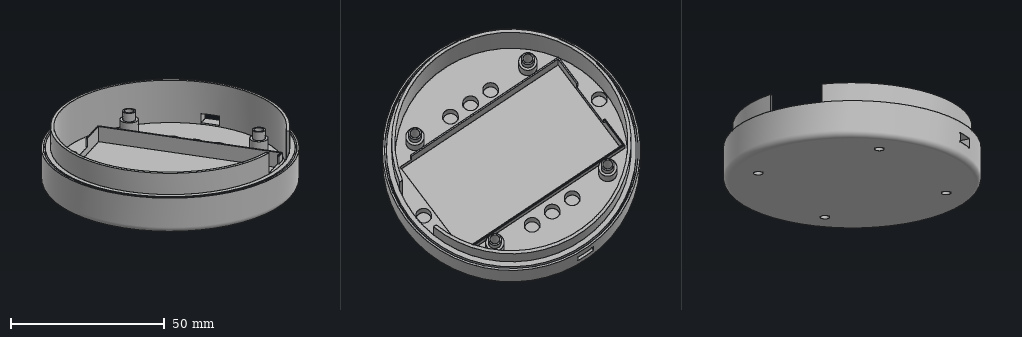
import cadquery as cq

outer_diameter = 84.0
cup_height = 12.5
total_height = 20.0
base_fillet = 2.0
floor_height = 5.0

collar_outer_diameter = 78.0
collar_thickness = 1.1
collar_gap_width = 19.0

groove_outer_diameter = 82.6
groove_inner_diameter = 81.4
groove_depth = 2.0

pocket_length = 63.0
pocket_width = 36.4
pocket_floor = 2.5
rib_thickness = 0.5
rib_top = 8.0
left_rib_rear_length = 11.2
left_rib_front_length = 11.0
right_rib_length = 3.15
rib_step_width = 0.25
rib_step_drop = 0.25
front_rib_length = 59.0

post_offset = 22.5
post_diameter = 6.0
post_shoulder = 10.0
pin_diameter = 4.2
pin_top = 13.0
screw_hole_diameter = 3.1

magnet_diameter = 5.1
magnet_depth = 4.0
magnet_row_pitch = 8.0
magnet_row_offset = 23.0
magnet_side_offset = 35.0

window_width = 6.3
window_bottom = 5.5
window_height = 3.2


def cylinder(diameter, bottom, top, x=0.0, y=0.0):
    """Upright cylinder between two heights."""
    return cq.Workplane("XY", origin=(x, y, bottom)).circle(diameter / 2).extrude(top - bottom)


def block(x_min, x_max, y_min, y_max, bottom, top):
    """Axis-aligned box given by its limits."""
    return cq.Workplane("XY").box(
        x_max - x_min, y_max - y_min, top - bottom, centered=False
    ).translate((x_min, y_min, bottom))


def make_cup():
    cup = cylinder(outer_diameter, 0, cup_height).faces("<Z").edges().fillet(base_fillet)
    groove_bottom = cup_height - groove_depth
    groove = cylinder(groove_outer_diameter, groove_bottom, cup_height).cut(
        cylinder(groove_inner_diameter, groove_bottom, cup_height)
    )
    return cup.cut(groove).cut(cylinder(collar_outer_diameter, floor_height, cup_height))


def make_collar():
    inner_diameter = collar_outer_diameter - 2 * collar_thickness
    collar = cylinder(collar_outer_diameter, floor_height, total_height).cut(
        cylinder(inner_diameter, floor_height, total_height)
    )
    gap = block(
        0, outer_diameter / 2, -collar_gap_width / 2, collar_gap_width / 2, floor_height, total_height
    )
    return collar.cut(gap)


def make_ribs():
    x_in = pocket_length / 2
    y_in = pocket_width / 2
    x_out = x_in + rib_thickness
    y_out = y_in + rib_thickness

    x_step = x_out - rib_step_width
    y_step = y_out - rib_step_width
    rear_frame = block(-x_out, x_out, -y_out, y_out, pocket_floor, rib_top - rib_step_drop)
    rear_frame = rear_frame.union(block(-x_step, x_step, -y_step, y_step, pocket_floor, rib_top))
    rear_frame = rear_frame.cut(block(-x_in, x_in, -y_out, y_in, pocket_floor, rib_top))
    rear_frame = rear_frame.cut(block(-x_out, 0, -y_out, y_out - left_rib_rear_length, pocket_floor, rib_top))
    rear_frame = rear_frame.cut(block(0, x_out, -y_out, y_out - right_rib_length, pocket_floor, rib_top))

    front_rib = block(-x_out, -x_out + front_rib_length, -y_out, -y_in, pocket_floor, rib_top)
    left_front_rib = block(-x_out, -x_in, -y_out, -y_out + left_rib_front_length, pocket_floor, rib_top)
    return rear_frame.union(front_rib).union(left_front_rib)


def make_pocket():
    return block(
        -pocket_length / 2, pocket_length / 2,
        -pocket_width / 2, pocket_width / 2,
        pocket_floor, floor_height,
    )


def post_centers():
    return [(sx * post_offset, sy * post_offset) for sx in (-1, 1) for sy in (-1, 1)]


def magnet_centers():
    centers = [(side * magnet_side_offset, 0) for side in (-1, 1)]
    for side in (-1, 1):
        for step in (-1, 0, 1):
            centers.append((step * magnet_row_pitch, side * magnet_row_offset))
    return centers


def make_posts():
    posts = cq.Workplane("XY")
    for x, y in post_centers():
        posts = posts.union(cylinder(post_diameter, floor_height, post_shoulder, x, y))
        posts = posts.union(cylinder(pin_diameter, post_shoulder, pin_top, x, y))
    return posts


def make_screw_holes():
    holes = cq.Workplane("XY")
    for x, y in post_centers():
        holes = holes.union(cylinder(screw_hole_diameter, 0, pin_top, x, y))
    return holes


def make_magnet_holes():
    holes = cq.Workplane("XY")
    for x, y in magnet_centers():
        holes = holes.union(cylinder(magnet_diameter, floor_height - magnet_depth, floor_height, x, y))
    return holes


def make_window():
    """Cutter running outward from inside the collar, clear of the ribs."""
    window_top = window_bottom + window_height
    return block(
        -window_width / 2, window_width / 2, post_offset, outer_diameter / 2, window_bottom, window_top
    )


result = make_cup().union(make_collar())
result = result.cut(make_pocket()).union(make_ribs()).union(make_posts())
result = result.cut(make_screw_holes()).cut(make_magnet_holes()).cut(make_window())